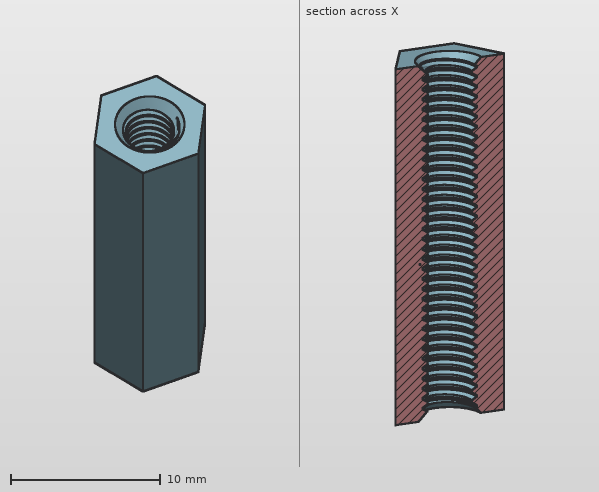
import cadquery as cq
import math

length = 25.0
across_flats = 7.0

minor_diameter = 3.25
major_diameter = 4.0
pitch = 0.7
countersink_diameter = 4.65
countersink_overrun = 0.12
thread_end_inset = 0.3
root_width = pitch / 8
groove_overlap = 0.05
top_end_angle = 90.0

minor_radius = minor_diameter / 2
major_radius = major_diameter / 2


def hex_body():
    across_corners = across_flats / math.cos(math.radians(30))
    bar = cq.Workplane("XY").polygon(6, across_corners).extrude(length)
    return bar.rotate((0, 0, 0), (0, 0, 1), 90)


def bore():
    return cq.Workplane("XY").circle(minor_radius).extrude(length)


def bottom_countersink():
    """90 degree cone, carried past the bore wall and below the bottom face."""
    mouth_radius = countersink_diameter / 2
    tip_radius = minor_radius - countersink_overrun
    depth = mouth_radius - tip_radius
    half_section = [
        (0, -countersink_overrun),
        (mouth_radius + countersink_overrun, -countersink_overrun),
        (tip_radius, depth),
        (0, depth),
    ]
    return cq.Workplane("XZ").polyline(half_section).close().revolve(360, (0, 0), (0, 1))


def top_countersink():
    return bottom_countersink().mirror("XY").translate((0, 0, length))


def thread_groove():
    """Helical groove with 60 degree flanks and a flat root."""
    helix_height = length - 2 * thread_end_inset
    inner_radius = minor_radius - groove_overlap
    half_root = root_width / 2
    half_mouth = half_root + (major_radius - inner_radius) * math.tan(math.radians(30))
    helix = cq.Wire.makeHelix(pitch, helix_height, minor_radius)
    groove = (
        cq.Workplane("XZ")
        .polyline([
            (inner_radius, -half_mouth),
            (major_radius, -half_root),
            (major_radius, half_root),
            (inner_radius, half_mouth),
        ])
        .close()
        .sweep(cq.Workplane(obj=helix), isFrenet=True)
    )
    start_angle = top_end_angle - 360 * helix_height / pitch
    return groove.rotate((0, 0, 0), (0, 0, 1), start_angle).translate((0, 0, thread_end_inset))


result = (
    hex_body()
    .cut(bore())
    .cut(thread_groove())
    .cut(bottom_countersink())
    .cut(top_countersink())
)